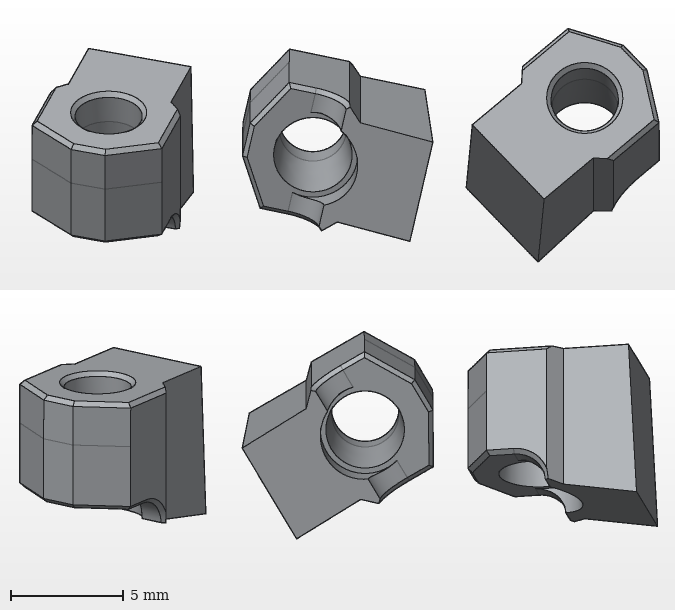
import cadquery as cq
import math

height = 7.0
length = 8.0
half_width = 3.04
front_y = -half_width
back_y = front_y + length
front_flat_half = 0.8
front_angle = 30.0

heel_half_width = 2.4
heel_start_y = 1.64
shoulder = half_width - heel_half_width

back_rake = 3.0
bottom_slope = 10.0

underside_z = 2.0
arch_radius = 1.42
arch_start_y = -0.51
edge_chamfer = 0.2

hole_diameter = 3.0
relief_diameter = 4.0
flare_top_z = 5.5
flare_diameter = 3.5

draft_start_z = 5.0
nose_draft = 0.5


def tan_deg(angle):
    return math.tan(math.radians(angle))


def nose_outline(level, setback):
    """Full-width plan outline at the given level, with the nose facets moved back by setback."""
    front = front_y + setback
    half_angle = front_angle / 2
    flat_half = front_flat_half - setback * tan_deg(half_angle)
    facet_end_y = front + (half_width - flat_half) * tan_deg(front_angle)
    return (
        cq.Workplane("XY", origin=(0, 0, level))
        .moveTo(-flat_half, front)
        .lineTo(flat_half, front)
        .lineTo(half_width, facet_end_y)
        .lineTo(half_width, back_y)
        .lineTo(-half_width, back_y)
        .lineTo(-half_width, facet_end_y)
        .close()
    )


def block():
    """Full-width prism with the faceted nose, slightly drafted in its upper part."""
    lower = nose_outline(0, 0).extrude(draft_start_z)
    setback = (height - draft_start_z) * tan_deg(nose_draft)
    bottom_wire = nose_outline(draft_start_z, 0).val()
    top_wire = nose_outline(height, setback).val()
    upper = cq.Solid.makeLoft([bottom_wire, top_wire], True)
    return lower.union(cq.Workplane(upper))


def side_prism(profile):
    """Extrude a closed YZ profile across the whole width."""
    return profile.extrude(half_width, both=True)


def arch_cutter():
    """Space below the nose, rounded up into the heel."""
    arch_center_z = underside_z - arch_radius
    arch_end_y = arch_start_y + arch_radius
    mid = arch_radius * math.sqrt(0.5)
    return side_prism(
        cq.Workplane("YZ")
        .moveTo(front_y, 0)
        .lineTo(front_y, underside_z)
        .lineTo(arch_start_y, underside_z)
        .threePointArc((arch_start_y + mid, arch_center_z + mid), (arch_end_y, arch_center_z))
        .lineTo(arch_end_y, 0)
        .close()
    )


def chamfer_nose(body):
    """Bevel the top rim and the underside rim, including the arch edges."""
    body = body.faces(">Z").edges("not >Y").chamfer(edge_chamfer)
    underside_box = cq.selectors.BoxSelector(
        (-half_width, front_y, underside_z - edge_chamfer),
        (half_width, arch_start_y, underside_z + edge_chamfer),
    )
    underside_rim = body.faces(underside_box).edges("not >Y")
    arch_sides = body.edges("%CIRCLE")
    return underside_rim.add(arch_sides).chamfer(edge_chamfer)


def side_envelope():
    """Side outline with the raked back and the sloping heel underside."""
    return side_prism(
        cq.Workplane("YZ")
        .moveTo(front_y, height)
        .lineTo(front_y, underside_z)
        .lineTo(arch_start_y, underside_z)
        .lineTo(arch_start_y, (back_y - arch_start_y) * tan_deg(bottom_slope))
        .lineTo(back_y, 0)
        .lineTo(back_y - height * tan_deg(back_rake), height)
        .close()
    )


def plan_envelope():
    """Plan outline that narrows to the heel over 45 degree shoulders."""
    shoulder_y = heel_start_y - shoulder
    return (
        cq.Workplane("XY")
        .moveTo(-half_width, front_y)
        .lineTo(half_width, front_y)
        .lineTo(half_width, shoulder_y)
        .lineTo(heel_half_width, heel_start_y)
        .lineTo(heel_half_width, back_y)
        .lineTo(-heel_half_width, back_y)
        .lineTo(-heel_half_width, heel_start_y)
        .lineTo(-half_width, shoulder_y)
        .close()
        .extrude(height)
    )


def cone(bottom_radius, top_radius, bottom_z, top_z):
    """Upright truncated cone on the hole axis."""
    base = cq.Vector(0, 0, bottom_z)
    return cq.Workplane(cq.Solid.makeCone(bottom_radius, top_radius, top_z - bottom_z, pnt=base))


def hole_cutter():
    """Through hole: bevelled mouth, straight bore, downward flare and wide relief."""
    hole_radius = hole_diameter / 2
    relief_radius = relief_diameter / 2
    bore = cq.Workplane("XY").circle(hole_radius).extrude(height)
    mouth = cone(hole_radius, hole_radius + edge_chamfer, height - edge_chamfer, height)
    flare = cone(flare_diameter / 2, hole_radius, underside_z, flare_top_z)
    relief = cq.Workplane("XY").circle(relief_radius).extrude(underside_z)
    return bore.union(mouth).union(flare).union(relief)


result = chamfer_nose(block().cut(arch_cutter()))
result = result.intersect(side_envelope()).intersect(plan_envelope())
result = result.cut(hole_cutter())